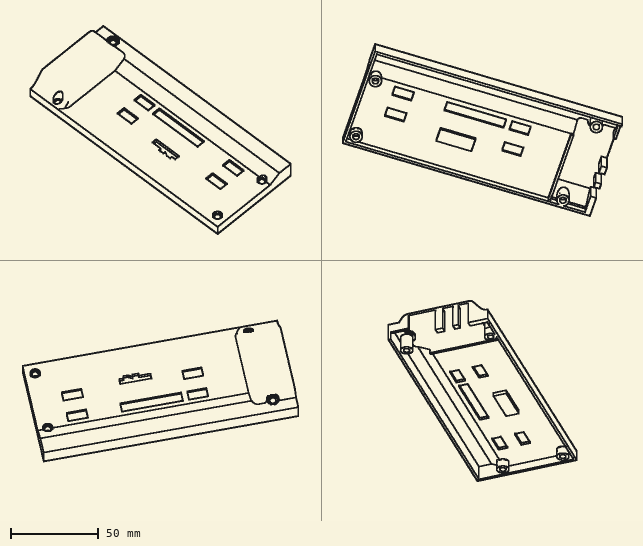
import cadquery as cq
import math

LENGTH = 148.3
WIDTH = 60.4
HEIGHT = 15.1
WALL = 1.5

DECK_Z = 6.4
RAIL_Z = 10.4
RAMP_FOOT_Y = 43.3
RAMP_TOP_Y = 50.9
CEILING_Z = DECK_Z - WALL

HOUSING_LENGTH = 25.5
FRONT_SLOPE_FOOT = (2.7, 7.1)
FRONT_SLOPE_HEAD = (9.2, 14.2)
FRONT_TOP_Y = 12.0
BACK_SLOPE_FOOT = (53.8, RAIL_Z)
BACK_SLOPE_HEAD = (51.0, 14.2)
BACK_TOP_Y = 47.9
HOUSING_ROUND = 3.7
CAVITY_ROUND = 1.8
DIVIDER_BOTTOM_Z = 2.7
DIVIDER_BACK_Y = 43.9

FRONT_WALL_DEPTH = 3.4
WINDOW_TOP_Z = HEIGHT - WALL
END_WINDOWS = [(11.9, 18.0), (21.0, 27.3), (31.7, 48.2)]
RAIL_OPENING_Z = 4.9

WINDOW_WIDTH = 5.5
BACK_ROW_Y = 38.0
FRONT_ROW_Y = 24.2
BACK_ROW = [(48.5, 59.6), (63.2, 98.6), (118.5, 129.9)]
FRONT_ROW = [BACK_ROW[0], BACK_ROW[2]]

RECESS_FLOOR_Z = 4.2
RECESS_BACK_Y = 22.8
RECESS_STEP_Y = 19.6
RECESS_FRONT_Y = 18.1
RECESS_START_X = 77.9
RECESS_END_X = 96.0
RECESS_TOOTH_1 = (84.5, 88.1)
RECESS_TOOTH_2 = (90.8, 93.3)

HOLE_D = 3.5
HEAD_D = 5.6
BOSS_D = 7.0
HEAD_SEAT_Z = DECK_Z - WALL
REAR_SCREW = (13.6, 54.1)
DECK_SCREWS = [(17.6, 4.6), (142.4, 42.7), (142.2, 6.2)]
REAR_BOSS_TOP_Z = 13.8
REAR_BOSS_FLARE = 1.5
REAR_SEAT_Z = 12.2


def block(x0, x1, y0, y1, z0, z1):
    return cq.Workplane("XY").box(x1 - x0, y1 - y0, z1 - z0, centered=False).translate((x0, y0, z0))


def cylinder(center, diameter, z0, z1):
    return cq.Workplane("XY", origin=(*center, z0)).circle(diameter / 2).extrude(z1 - z0)


def cover_section(x, bottom_z):
    """Deck, ramp and rail outline in the plane at x."""
    return (
        cq.Workplane("YZ", origin=(x, 0, 0))
        .moveTo(0, bottom_z)
        .lineTo(0, DECK_Z)
        .lineTo(RAMP_FOOT_Y, DECK_Z)
        .lineTo(RAMP_TOP_Y, RAIL_Z)
        .lineTo(WIDTH, RAIL_Z)
        .lineTo(WIDTH, bottom_z)
        .close()
    )


def housing_cap():
    """Raised housing: an S-curved front slope, a flat top and a rounded back slope.

    The outline runs on past y = 0 so that the rim round fades into the deck; the excess is trimmed off.
    """
    foot_z = DECK_Z - HOUSING_ROUND
    back_run = (BACK_SLOPE_FOOT[0] - BACK_SLOPE_HEAD[0]) / (BACK_SLOPE_HEAD[1] - BACK_SLOPE_FOOT[1])
    body = (
        cq.Workplane("YZ")
        .moveTo(-HOUSING_ROUND, foot_z)
        .lineTo(-HOUSING_ROUND, DECK_Z)
        .lineTo(0, DECK_Z)
        .spline(
            [FRONT_SLOPE_FOOT, FRONT_SLOPE_HEAD, (FRONT_TOP_Y, HEIGHT)],
            tangents=[(1, 0), (1, 0)],
            includeCurrent=True,
        )
        .lineTo(BACK_TOP_Y, HEIGHT)
        .spline(
            [BACK_SLOPE_HEAD, BACK_SLOPE_FOOT],
            tangents=[(1, 0), (back_run, -1)],
            includeCurrent=True,
        )
        .lineTo(BACK_SLOPE_FOOT[0] + (RAIL_Z - foot_z) * back_run, foot_z)
        .close()
        .extrude(HOUSING_LENGTH)
    )
    rim = body.faces(">X").edges("not (<Z or <Y)")
    trim = block(0, HOUSING_LENGTH, 0, WIDTH, 0, HEIGHT)
    return rim.fillet(HOUSING_ROUND).intersect(trim)


def housing_cavity():
    """Space inside the housing, one wall thickness behind its top, slopes and +X side."""
    floor_z = DIVIDER_BOTTOM_Z
    top_z = HEIGHT - WALL
    front_run = (FRONT_SLOPE_HEAD[0] - FRONT_SLOPE_FOOT[0]) / (FRONT_SLOPE_HEAD[1] - FRONT_SLOPE_FOOT[1])
    back_run = (BACK_SLOPE_FOOT[0] - BACK_SLOPE_HEAD[0]) / (BACK_SLOPE_HEAD[1] - BACK_SLOPE_FOOT[1])
    front_shift = WALL * math.hypot(1, front_run)
    back_shift = WALL * math.hypot(1, back_run)

    def front_y(z):
        return max(WALL, FRONT_SLOPE_HEAD[0] + (z - FRONT_SLOPE_HEAD[1]) * front_run + front_shift)

    def back_y(z):
        return min(WIDTH - WALL, BACK_SLOPE_FOOT[0] - (z - RAIL_Z) * back_run - back_shift)

    body = (
        cq.Workplane("YZ", origin=(WALL, 0, 0))
        .moveTo(front_y(floor_z), floor_z)
        .lineTo(front_y(CEILING_Z), CEILING_Z)
        .lineTo(front_y(top_z), top_z)
        .lineTo(back_y(top_z), top_z)
        .lineTo(back_y(CEILING_Z), CEILING_Z)
        .lineTo(back_y(CEILING_Z), floor_z)
        .close()
        .extrude(HOUSING_LENGTH - 2 * WALL)
    )
    body = body.edges("|X").edges(">Z").edges(">Y").fillet(CAVITY_ROUND)
    return body.faces(">X").edges(">Z").fillet(CAVITY_ROUND)


def deck_cavity():
    """Space under the deck, ramp and rail; the section drops below z = 0 so its inset opens at the bottom."""
    section = cover_section(WALL, -WALL).offset2D(-WALL, "intersection")
    return section.extrude(LENGTH - 2 * WALL)


def below_surface(x0, x1, y0, y1, z0):
    """Block rising from z0 to the underside of the deck and ramp."""
    return block(x0, x1, y0, y1, z0, HEIGHT).intersect(deck_cavity())


def end_wall():
    """Thick front part of the -X wall, left standing as posts between the windows."""
    wall = block(0, FRONT_WALL_DEPTH, 0, END_WINDOWS[-1][0], 0, HEIGHT)
    return wall.intersect(housing_cavity().union(deck_cavity()))


def screw_bosses():
    bosses = cylinder(REAR_SCREW, BOSS_D, 0, RAIL_Z)
    for center in DECK_SCREWS:
        bosses = bosses.union(cylinder(center, BOSS_D, 0, HEIGHT))
    return bosses.intersect(deck_cavity().union(housing_cavity()))


def rear_boss():
    """Collar around the rear screw, flaring out onto the rail through a concave round."""
    radius = BOSS_D / 2
    flare_z = RAIL_Z + REAR_BOSS_FLARE
    arc_reach = REAR_BOSS_FLARE * (1 - math.sqrt(0.5))
    collar = (
        cq.Workplane("XZ")
        .moveTo(0, RAIL_Z - WALL)
        .lineTo(radius + REAR_BOSS_FLARE, RAIL_Z - WALL)
        .lineTo(radius + REAR_BOSS_FLARE, RAIL_Z)
        .threePointArc((radius + arc_reach, RAIL_Z + arc_reach), (radius, flare_z))
        .lineTo(radius, REAR_BOSS_TOP_Z)
        .lineTo(0, REAR_BOSS_TOP_Z)
        .close()
        .revolve(360, (0, 0), (0, 1))
    )
    return collar.translate((*REAR_SCREW, 0))


def screw_cuts():
    cuts = cylinder(REAR_SCREW, HOLE_D, 0, HEIGHT)
    cuts = cuts.union(cylinder(REAR_SCREW, HEAD_D, REAR_SEAT_Z, HEIGHT))
    for center in DECK_SCREWS:
        cuts = cuts.union(cylinder(center, HOLE_D, 0, HEIGHT))
        cuts = cuts.union(cylinder(center, HEAD_D, HEAD_SEAT_Z, HEIGHT))
    return cuts


def deck_windows():
    cuts = cq.Workplane("XY")
    for row_y, spans in ((BACK_ROW_Y, BACK_ROW), (FRONT_ROW_Y, FRONT_ROW)):
        for x0, x1 in spans:
            half = WINDOW_WIDTH / 2
            cuts = cuts.add(block(x0, x1, row_y - half, row_y + half, 0, HEIGHT))
    return cuts.combine()


def end_windows():
    """Openings through the -X end: three windows under the housing and a low slot under the rail."""
    cuts = cq.Workplane("XY")
    for y0, y1 in END_WINDOWS:
        cuts = cuts.add(block(0, FRONT_WALL_DEPTH, y0, y1, 0, WINDOW_TOP_Z))
    rail_opening = block(0, WALL, END_WINDOWS[-1][1], WIDTH - WALL, 0, RAIL_OPENING_Z)
    return cuts.add(rail_opening).combine()


def key_recess():
    """Bar-shaped recess with two teeth on its front side, the second with a slanted flank."""
    return (
        cq.Workplane("XY", origin=(0, 0, RECESS_FLOOR_Z))
        .moveTo(RECESS_START_X, RECESS_BACK_Y)
        .lineTo(RECESS_START_X, RECESS_STEP_Y)
        .lineTo(RECESS_TOOTH_1[0], RECESS_STEP_Y)
        .lineTo(RECESS_TOOTH_1[0], RECESS_FRONT_Y)
        .lineTo(RECESS_TOOTH_1[1], RECESS_FRONT_Y)
        .lineTo(RECESS_TOOTH_1[1], RECESS_STEP_Y)
        .lineTo(RECESS_TOOTH_2[0], RECESS_FRONT_Y)
        .lineTo(RECESS_TOOTH_2[1], RECESS_FRONT_Y)
        .lineTo(RECESS_TOOTH_2[1], RECESS_STEP_Y)
        .lineTo(RECESS_END_X, RECESS_STEP_Y)
        .lineTo(RECESS_END_X, RECESS_BACK_Y)
        .close()
        .extrude(HEIGHT)
    )


shell = cover_section(0, 0).extrude(LENGTH).union(housing_cap())
shell = shell.cut(deck_cavity()).cut(housing_cavity())

divider = below_surface(HOUSING_LENGTH - WALL, HOUSING_LENGTH, 0, DIVIDER_BACK_Y, DIVIDER_BOTTOM_Z)
recess_pad = below_surface(
    RECESS_START_X - WALL, RECESS_END_X + WALL,
    RECESS_FRONT_Y - WALL, RECESS_BACK_Y + WALL,
    RECESS_FLOOR_Z - WALL,
)

body = shell.union(end_wall()).union(divider).union(recess_pad).union(screw_bosses()).union(rear_boss())
result = body.cut(end_windows()).cut(deck_windows()).cut(key_recess()).cut(screw_cuts())